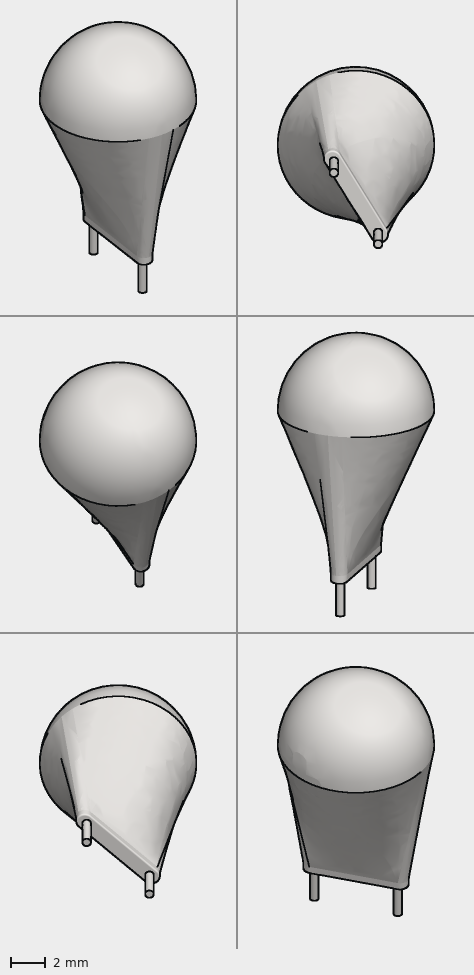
import cadquery as cq

dome_diameter = 9.0
taper_height = 9.0
foot_length = 6.3
foot_thickness = 1.0
foot_height = 0.5
foot_edge_fillet = 0.1

pin_diameter = 0.5
pin_spacing = 5.0
pin_length = 2.1

mark_span = 3.0
mark_arm_width = 1.0
mark_corner_radius = 0.4
mark_center_x = -2.25

dome_radius = dome_diameter / 2
taper_top = foot_height + taper_height


def make_foot():
    """Stadium-shaped plate with a rounded lower rim."""
    plate = cq.Workplane("XY").slot2D(foot_length, foot_thickness).extrude(foot_height)
    return plate.faces("<Z").edges().fillet(foot_edge_fillet)


def make_taper():
    """Loft from the foot outline up to the dome's full circle."""
    return (
        cq.Workplane("XY", origin=(0, 0, foot_height))
        .slot2D(foot_length, foot_thickness)
        .workplane(offset=taper_height)
        .circle(dome_radius)
        .loft(ruled=True)
    )


def make_dome():
    """Upper half of a sphere."""
    dome = cq.Solid.makeSphere(dome_radius, angleDegrees1=0, angleDegrees2=90)
    return cq.Workplane(dome.translate(cq.Vector(0, 0, taper_top)))


def make_pins():
    """Two straight round leads, one near each end of the foot."""
    return (
        cq.Workplane("XY")
        .pushPoints([(-pin_spacing / 2, 0), (pin_spacing / 2, 0)])
        .circle(pin_diameter / 2)
        .extrude(-pin_length)
    )


def make_mark_prism(direction):
    """Plus-shaped prism from the mid plane out past the body, toward -Y (1) or +Y (-1)."""
    plane = cq.Workplane("XZ", origin=(mark_center_x, 0, taper_top))
    depth = direction * dome_diameter
    upright = plane.rect(mark_arm_width, mark_span).extrude(depth)
    crossbar = plane.rect(mark_span, mark_arm_width).extrude(depth)
    upright = upright.edges("|Y").fillet(mark_corner_radius)
    crossbar = crossbar.edges("|Y").fillet(mark_corner_radius)
    return upright.union(crossbar)


def imprint(body, prism):
    """Outline the prism on the body's surface without changing the body's shape."""
    inlay = body.intersect(prism, clean=False)
    surround = body.cut(prism, clean=False)
    return surround.union(inlay, clean=False)


result = make_taper().union(make_dome()).union(make_foot()).union(make_pins())
for side in (1, -1):
    result = imprint(result, make_mark_prism(side))